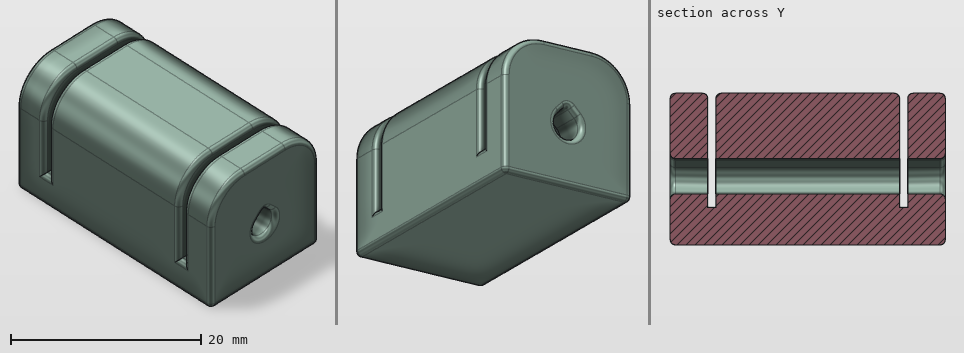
import cadquery as cq
import math

length = 29.0
section = 16.0
top_radius = 5.0
edge_fillet = 0.6

slot_width = 0.8
slot_end_distance = 4.0
slot_floor = 4.0

bore_radius = 1.6
bore_height = 7.02
peak_radius = 0.5


def rounded_block():
    """Block with large upper rounds along its length."""
    block = cq.Workplane("XY").box(length, section, section, centered=(True, True, False))
    return block.edges("|X and >Z").fillet(top_radius)


def cut_slots(body):
    """Cut a full-width slot, open at the top, near each end."""
    slot_centre = length / 2 - slot_end_distance - slot_width / 2
    for side in (-1, 1):
        slot = (
            cq.Workplane("XY", origin=(side * slot_centre, 0, slot_floor))
            .box(slot_width, section, section, centered=(True, True, False))
        )
        body = body.cut(slot)
    return body


def round_outer_edges(body):
    """Round the end outlines, the base edges and the mouths of the slots."""
    floor_level = cq.selectors.BoxSelector(
        (-length / 2, -section, slot_floor - edge_fillet),
        (length / 2, section, slot_floor + edge_fillet),
    )
    wall_outlines = body.faces("|X").edges().edges(cq.selectors.InverseSelector(floor_level))
    floor_ends = body.edges(floor_level).edges("|X")
    base_edges = body.edges("|X and <Z")
    return wall_outlines.add(floor_ends).add(base_edges).fillet(edge_fillet)


def bore_tool():
    """Teardrop prism running the full length of the block."""
    diagonal = math.sqrt(0.5)
    peak_centre = (bore_radius - peak_radius) / diagonal
    flank_offset = bore_radius * diagonal
    peak_offset = peak_radius * diagonal
    return (
        cq.Workplane("YZ", origin=(-length / 2, 0, bore_height))
        .moveTo(flank_offset, flank_offset)
        .lineTo(peak_offset, peak_centre + peak_offset)
        .threePointArc((0, peak_centre + peak_radius), (-peak_offset, peak_centre + peak_offset))
        .lineTo(-flank_offset, flank_offset)
        .threePointArc((0, -bore_radius), (flank_offset, flank_offset))
        .close()
        .extrude(length)
    )


def cut_bore(body):
    """Cut the bore and round its mouth at both ends."""
    bored = body.cut(bore_tool())
    mouth_reach = 2 * bore_radius
    mouths = bored.faces("<X or >X").edges(cq.selectors.BoxSelector(
        (-length, -mouth_reach, bore_height - mouth_reach),
        (length, mouth_reach, bore_height + mouth_reach),
    ))
    return mouths.fillet(edge_fillet)


part = cut_bore(round_outer_edges(cut_slots(rounded_block())))
result = part.solids()